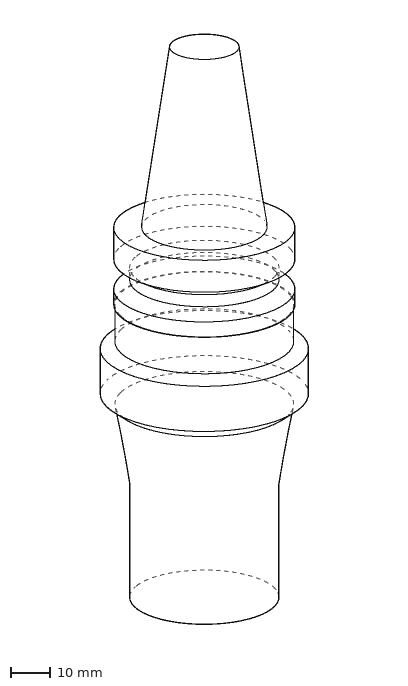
import cadquery as cq

total_height = 150.0

nose_diameter = 38.0
groove_diameter = 38.0
collar_diameter = 53.0
neck_diameter = 45.5
flange_diameter = 46.0
shank_diameter = 31.8

nose_top = 31.2
collar_bevel_bottom = 52.6
collar_bottom = 55.5
collar_top = 67.8
neck_bottom = 69.8
neck_top = 79.8
lower_flange_top = 84.0
groove_bottom = 86.5
groove_top = 89.8
upper_flange_bottom = 92.1
upper_flange_top = 100.8
shank_taper_bottom = 101.7

taper_ratio = 7 / 24
tip_diameter = shank_diameter - taper_ratio * (total_height - shank_taper_bottom)

flare_bow = 0.2
flare_mid_radius = (nose_diameter + neck_diameter) / 4 - flare_bow
flare_mid_height = (nose_top + collar_bevel_bottom) / 2

profile = (
    cq.Workplane("XZ")
    .moveTo(0, 0)
    .lineTo(nose_diameter / 2, 0)
    .lineTo(nose_diameter / 2, nose_top)
    .threePointArc(
        (flare_mid_radius, flare_mid_height),
        (neck_diameter / 2, collar_bevel_bottom),
    )
    .lineTo(collar_diameter / 2, collar_bottom)
    .lineTo(collar_diameter / 2, collar_top)
    .lineTo(neck_diameter / 2, neck_bottom)
    .lineTo(neck_diameter / 2, neck_top)
    .lineTo(flange_diameter / 2, neck_top)
    .lineTo(flange_diameter / 2, lower_flange_top)
    .lineTo(groove_diameter / 2, groove_bottom)
    .lineTo(groove_diameter / 2, groove_top)
    .lineTo(flange_diameter / 2, upper_flange_bottom)
    .lineTo(flange_diameter / 2, upper_flange_top)
    .lineTo(shank_diameter / 2, upper_flange_top)
    .lineTo(shank_diameter / 2, shank_taper_bottom)
    .lineTo(tip_diameter / 2, total_height)
    .lineTo(0, total_height)
    .close()
)

result = profile.revolve(360, (0, 0), (0, 1))